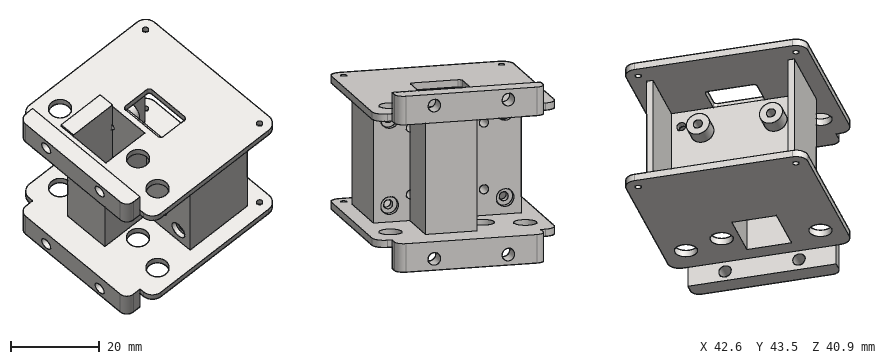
import cadquery as cq


plate_width = 42.56
plate_depth = 39.3
plate_thickness = 1.7
plate_gap = 27.6
plate_corner_radius = 2.8
plate_inner_z = plate_gap / 2
plate_outer_z = plate_inner_z + plate_thickness

flange_width = 34.75
flange_depth = 4.2
flange_height = 6.65
flange_corner_radius = 2.1
flange_hole_diameter = 2.9
flange_hole_x = 8.65
flange_hole_height_left = 4.0
flange_hole_height_right = 4.2

housing_width = 34.6
housing_front_y = 15.75
housing_back_y = 33.7
front_wall_thickness = 2.95
side_wall_thickness = 1.5
wall_back_y = housing_front_y + front_wall_thickness

screw_hole_diameter = 2.1
counterbore_diameter = 4.1
counterbore_depth = 1.2
outer_screw_x = 13.5
outer_screw_z = 10.0
standoff_diameter = 5.4
standoff_length = 3.65
standoff_x = 8.55
standoff_z = 7.75

duct_left_x = -8.8
duct_right_x = 3.25
duct_front_y = 2.65
duct_side_wall = 0.8
duct_front_wall = 1.1
duct_opening_back_y = 15.95

tab_left_x = -12.0
tab_thickness = 0.55

large_hole_diameter = 5.2
large_hole_centers = [(-15.75, 7.05), (15.75, 7.05), (6.6, 9.8)]
small_hole_diameter = 1.4
small_hole_x = 18.45
small_hole_y = 36.4

opening_width = 12.1
opening_front_y = 17.4
opening_back_y = 25.6
opening_corner_radius = 0.8
pocket_width = 9.85
pocket_back_y = 24.5
pocket_corner_chamfer = 1.65
pocket_depth = 0.8


def box(x_range, y_range, z_range):
    """Box spanning the given (low, high) range on each axis."""
    lows = (x_range[0], y_range[0], z_range[0])
    sizes = (x_range[1] - x_range[0], y_range[1] - y_range[0], z_range[1] - z_range[0])
    return cq.Workplane("XY").box(*sizes, centered=False).translate(lows)


def centered_range(width):
    return (-width / 2, width / 2)


def rod_along_y(diameter, x, z, y_range):
    """Cylinder parallel to Y."""
    length = y_range[1] - y_range[0]
    base = cq.Workplane("XZ", origin=(x, y_range[0], z))
    return base.circle(diameter / 2).extrude(-length)


def mirrored_in_z(upper):
    return upper.union(upper.mirror("XY"))


def make_plates():
    plate = box(centered_range(plate_width), (0, plate_depth), (plate_inner_z, plate_outer_z))
    return mirrored_in_z(plate.edges("|Z").fillet(plate_corner_radius))


def make_flanges():
    top_z = plate_inner_z + flange_height
    flange = box(centered_range(flange_width), (-flange_depth, 0), (plate_inner_z, top_z))
    flange = flange.edges("|Z and <Y").fillet(flange_corner_radius)
    holes = [(-flange_hole_x, flange_hole_height_left), (flange_hole_x, flange_hole_height_right)]
    for x, height in holes:
        z = plate_inner_z + height
        flange = flange.cut(rod_along_y(flange_hole_diameter, x, z, (-flange_depth, 0)))
    return mirrored_in_z(flange)


def make_housing():
    z_range = centered_range(plate_gap)
    outside = box(centered_range(housing_width), (housing_front_y, housing_back_y), z_range)
    inner_width = housing_width - 2 * side_wall_thickness
    return outside.cut(box(centered_range(inner_width), (wall_back_y, housing_back_y), z_range))


def add_wall_holes(body):
    """Counterbored outer holes, and inner holes through standoffs behind the wall."""
    standoff_back_y = wall_back_y + standoff_length
    for x_side in (-1, 1):
        for z_side in (-1, 1):
            x, z = x_side * outer_screw_x, z_side * outer_screw_z
            bore_range = (housing_front_y, housing_front_y + counterbore_depth)
            body = body.cut(rod_along_y(counterbore_diameter, x, z, bore_range))
            body = body.cut(rod_along_y(screw_hole_diameter, x, z, (housing_front_y, wall_back_y)))

            x, z = x_side * standoff_x, z_side * standoff_z
            body = body.union(rod_along_y(standoff_diameter, x, z, (wall_back_y, standoff_back_y)))
            body = body.cut(rod_along_y(screw_hole_diameter, x, z, (housing_front_y, standoff_back_y)))
    return body


def make_duct():
    return box((duct_left_x, duct_right_x), (duct_front_y, housing_front_y), centered_range(plate_gap))


def make_tab():
    x_range = (tab_left_x, duct_left_x + duct_side_wall)
    y_range = (duct_front_y + duct_front_wall, duct_opening_back_y)
    return box(x_range, y_range, (plate_outer_z, plate_outer_z + tab_thickness))


def make_duct_passage():
    x_range = (duct_left_x + duct_side_wall, duct_right_x - duct_side_wall)
    y_range = (duct_front_y + duct_front_wall, duct_opening_back_y)
    return box(x_range, y_range, (-plate_outer_z, plate_outer_z))


def make_plate_holes():
    """Holes of both plates; they stay clear of the housing and the duct."""
    height = 2 * plate_outer_z
    base = cq.Workplane("XY", origin=(0, 0, -plate_outer_z))
    large = base.pushPoints(large_hole_centers).circle(large_hole_diameter / 2).extrude(height)
    small_centers = [(-small_hole_x, small_hole_y), (small_hole_x, small_hole_y)]
    small = base.pushPoints(small_centers).circle(small_hole_diameter / 2).extrude(height)
    return large.union(small)


def make_connector_opening():
    y_range = (opening_front_y, opening_back_y)
    opening = box(centered_range(opening_width), y_range, (plate_inner_z, plate_outer_z))
    return opening.edges("|Z").fillet(opening_corner_radius)


def make_connector_pocket():
    """Pocket in the floor behind the front wall, with chamfered back corners."""
    z_range = (-plate_inner_z - pocket_depth, -plate_inner_z)
    pocket = box(centered_range(pocket_width), (wall_back_y, pocket_back_y), z_range)
    return pocket.edges("|Z and >Y").chamfer(pocket_corner_chamfer)


body = make_plates().union(make_flanges()).union(make_housing()).union(make_duct())
body = add_wall_holes(body).union(make_tab())
body = body.cut(make_duct_passage()).cut(make_plate_holes())
result = body.cut(make_connector_opening()).cut(make_connector_pocket())